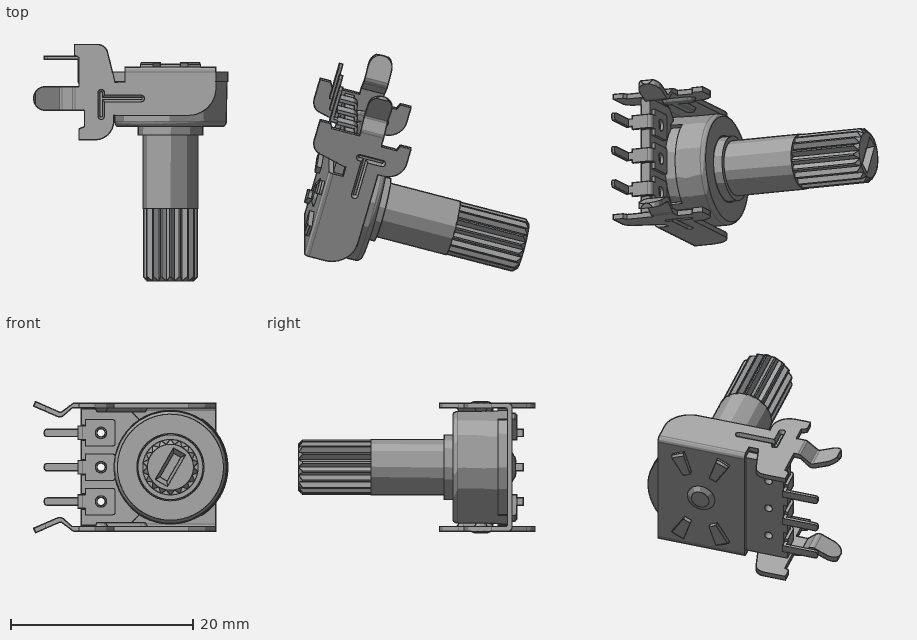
import cadquery as cq
import math


TAB_BACK_Y = 2.52
SHAFT_TIP_Y = TAB_BACK_Y - 26

SHEET = 0.55
BRACKET_Z = 7.05
INNER_Z = BRACKET_Z - SHEET
BACK_HALF_X = 5.0
BACK_Y = -0.52
BEND_OUTER = 0.52
BEND_INNER = 0.25

PLATE_FRONT_Y = -5.28
PLATE_CORNER = 3.0
NOTCH_Y = -1.65
NOTCH_X = -6.08
REAR_TAB_X = -7.1
REAR_TAB_CORNER = 1.22
FRONT_TAB_X = -6.21
FRONT_TAB_Y = -7.98
FRONT_TAB_CORNER = 2.08
TAB_REAR_END_X = -10.55
TAB_EDGE_X = -10.04
TAB_STEP_X = -9.45
FRONT_STEP_Y = -6.5
REAR_STEP_Y = 1.07
STEP_SLANT = 0.25

TONGUE_Y = -3.43
TONGUE_WIDTH = 2.63
TONGUE_TIP_X = -15.03
TONGUE_TOP_Z = 7.2
TONGUE_BEND_X = -10.63
TONGUE_LOWER_BEND_X = -10.8
TONGUE_DIP_X = -12.05
TONGUE_INNER_ROUND = 0.25
TONGUE_OUTER_ROUND = 0.65
TONGUE_ROOT_ROUND = 0.45
TONGUE_TIP_ANGLE = 23.5

BEAD_DEPTH = 0.45
BEAD_TAPER = 28
GROOVE_WIDTH = 0.73
BUMP_WIDTH = 1.4
BUMP_ROUND = 0.2
BEAD_BAR_X = -7.6
BEAD_BAR_Y = -4.08
BEAD_BAR_LENGTH = 3.28
BEAD_STEM_END_X = -2.85

BOARD_X = -9.8
BOARD_Z = 6.4
BOARD_Y = -1.59
BOARD_SLANT_X = -4.55
BOARD_TIP_X = -3.48
BOARD_TIP_Z = 5.28
LEG_GAP_HALF_Z = 0.83
LEG_GAP_DEPTH = 0.45

TERMINAL_PITCH = 3.77
TERMINAL_SHEET = 0.36
PAD_X = (-9.3, -6.05)
PAD_WIDTH = 2.9
PAD_CORNER = 0.3
LEG_X = -10.17
LEG_WIDTH = 1.5
LEG_BACK_Y = 0.42
LEG_BEND = 0.52
PIN_WIDTH = 0.83
PIN_BACK_Y = 1.22
PIN_TIP_X = -13.85
PIN_CORNER = 0.35
HOLE_X = -7.62
PAD_HOLE_R = 0.62
BOARD_HOLE_R = 0.45

HOUSING_REAR_R = 6.25
HOUSING_FRONT_R = 6.14
HOUSING_FACE_R = 5.82
HOUSING_ROUND_Y = -5.98
HOUSING_FACE_Y = -6.5
FLANGE_R = 6.32
FLANGE_MIN_X = 3.43
RECESS_R = 5.82
RECESS_Y = -3.0
RECESS_HALF_ANGLE = 46
COLLAR_R = 3.55
COLLAR_Y = -7.45
COLLAR_GROOVE = 0.13
SHAFT_R = 3.05
SHAFT_SHOULDER_Y = -15.52

KNURL_R = 3.0
KNURL_ROOT_R = 2.52
TEETH = 18
CREST_HALF_ANGLE = 1.7
SLOT_LENGTH = 4.0
SLOT_WIDTH = 1.53
SLOT_FLOOR_LENGTH = 3.02
SLOT_FLOOR_WIDTH = 0.9
SLOT_DEPTH = 0.78
SLOT_ANGLE = 60

LUG_INNER_R = 3.54
LUG_OUTER_R = 6.25
LUG_ANGLES = (58, 72)
LUG_HEIGHT = 0.52
LUG_CHAMFER = 0.23
RIVET_BASE_R = 1.59
RIVET_END_R = 1.01
RIVET_HEIGHT = 0.35


def block(x, y, z):
    """Box between two limits along each axis."""
    size = [abs(b - a) for a, b in (x, y, z)]
    centre = [(a + b) / 2 for a, b in (x, y, z)]
    return cq.Workplane("XY").box(*size).translate(tuple(centre))


def polar(radius, degrees):
    angle = math.radians(degrees)
    return radius * math.cos(angle), radius * math.sin(angle)


def sector(plane, r_inner, r_outer, start, end):
    """Closed ring-sector outline on a workplane."""
    middle = (start + end) / 2
    return (
        plane.moveTo(*polar(r_inner, start))
        .lineTo(*polar(r_outer, start))
        .threePointArc(polar(r_outer, middle), polar(r_outer, end))
        .lineTo(*polar(r_inner, end))
        .threePointArc(polar(r_inner, middle), polar(r_inner, start))
        .close()
    )


def round_corner(body, x, y, radius):
    corner = cq.selectors.NearestToPointSelector((x, y, BRACKET_Z - SHEET / 2))
    return body.edges("|Z").edges(corner).fillet(radius)


def side_plate():
    """Upper bracket side plate, flat."""
    tongue_rear = TONGUE_Y + TONGUE_WIDTH / 2
    tongue_front = TONGUE_Y - TONGUE_WIDTH / 2
    outline = [
        (TAB_REAR_END_X, TAB_BACK_Y),
        (REAR_TAB_X, TAB_BACK_Y),
        (NOTCH_X, NOTCH_Y),
        (-BACK_HALF_X, NOTCH_Y),
        (-BACK_HALF_X, 0),
        (BACK_HALF_X, 0),
        (BACK_HALF_X, PLATE_FRONT_Y),
        (FRONT_TAB_X, PLATE_FRONT_Y),
        (FRONT_TAB_X, FRONT_TAB_Y),
        (TAB_EDGE_X, FRONT_TAB_Y),
        (TAB_EDGE_X, FRONT_STEP_Y - STEP_SLANT),
        (TAB_STEP_X, FRONT_STEP_Y),
        (TAB_STEP_X, tongue_front),
        (TAB_EDGE_X, tongue_front),
        (TAB_EDGE_X, REAR_STEP_Y),
        (TAB_REAR_END_X, REAR_STEP_Y + STEP_SLANT),
    ]
    plate = cq.Workplane("XY").workplane(offset=INNER_Z).polyline(outline).close().extrude(SHEET)
    plate = round_corner(plate, REAR_TAB_X, TAB_BACK_Y, REAR_TAB_CORNER)
    plate = round_corner(plate, BACK_HALF_X, PLATE_FRONT_Y, PLATE_CORNER)
    return round_corner(plate, FRONT_TAB_X, FRONT_TAB_Y, FRONT_TAB_CORNER)


def tongue():
    """Spring tongue: dips inward, then rises to a rounded tip."""
    tip_angle = math.radians(TONGUE_TIP_ANGLE)
    tip_x = TONGUE_TIP_X + SHEET * math.sin(tip_angle)
    dip_z = TONGUE_TOP_Z - (TONGUE_DIP_X - tip_x) * math.tan(tip_angle)
    lower_dip_z = dip_z - SHEET / math.cos(tip_angle)
    outline = [
        (TAB_STEP_X, BRACKET_Z),
        (TONGUE_BEND_X, BRACKET_Z),
        (TONGUE_DIP_X, dip_z),
        (tip_x, TONGUE_TOP_Z),
        (TONGUE_TIP_X, TONGUE_TOP_Z - SHEET * math.cos(tip_angle)),
        (TONGUE_DIP_X, lower_dip_z),
        (TONGUE_LOWER_BEND_X, INNER_Z),
        (TAB_STEP_X, INNER_Z),
    ]
    strip = (
        cq.Workplane("XZ", origin=(0, TONGUE_Y, 0))
        .polyline(outline)
        .close()
        .extrude(TONGUE_WIDTH / 2, both=True)
    )
    bends = [
        (TONGUE_BEND_X, BRACKET_Z, TONGUE_ROOT_ROUND),
        (TONGUE_DIP_X, dip_z, TONGUE_INNER_ROUND),
        (TONGUE_DIP_X, lower_dip_z, TONGUE_OUTER_ROUND),
    ]
    for x, z, radius in bends:
        bend = cq.selectors.NearestToPointSelector((x, TONGUE_Y, z))
        strip = strip.edges("|Y").edges(bend).fillet(radius)
    plan_length = 2 * (TAB_STEP_X - TONGUE_TIP_X)
    plan = (
        cq.Workplane("XY")
        .center(TONGUE_TIP_X + plan_length / 2, TONGUE_Y)
        .slot2D(plan_length, TONGUE_WIDTH)
        .extrude(2 * BRACKET_Z)
    )
    return strip.intersect(plan)


def bead(width, top_z):
    """T-shaped bead body that narrows downward from top_z; width is its width at the top."""
    margin = width - GROOVE_WIDTH
    stem_length = BEAD_STEM_END_X - BEAD_BAR_X + width / 2
    stem_x = BEAD_STEM_END_X - stem_length / 2 + margin / 2
    plane = cq.Workplane("XY").workplane(offset=top_z)
    bar = (
        plane.center(BEAD_BAR_X, BEAD_BAR_Y)
        .slot2D(BEAD_BAR_LENGTH + margin, width, 90)
        .extrude(-BEAD_DEPTH, taper=BEAD_TAPER)
    )
    stem = (
        plane.center(stem_x, TONGUE_Y)
        .slot2D(stem_length, width)
        .extrude(-BEAD_DEPTH, taper=BEAD_TAPER)
    )
    return bar.union(stem)


def bracket():
    upper = side_plate().union(tongue())
    back = block((-BACK_HALF_X, BACK_HALF_X), (BACK_Y, 0), (-BRACKET_Z, BRACKET_Z))
    body = back.union(upper).union(upper.mirror("XY"))
    for side in (1, -1):
        outer = cq.selectors.NearestToPointSelector((0, 0, side * BRACKET_Z))
        inner = cq.selectors.NearestToPointSelector((0, BACK_Y, side * INNER_Z))
        body = body.edges("|X").edges(outer).fillet(BEND_OUTER)
        body = body.edges("|X").edges(inner).fillet(BEND_INNER)
    bump = bead(BUMP_WIDTH, INNER_Z).faces("<Z").edges().fillet(BUMP_ROUND)
    groove = bead(GROOVE_WIDTH, BRACKET_Z)
    body = body.union(bump).union(bump.mirror("XY"))
    return body.cut(groove).cut(groove.mirror("XY"))


def board():
    """Insulating board with a gap for each terminal leg."""
    upper_edge = [(BOARD_X, BOARD_Z), (BOARD_SLANT_X, BOARD_Z), (BOARD_TIP_X, BOARD_TIP_Z)]
    lower_edge = [(x, -z) for x, z in reversed(upper_edge)]
    body = (
        cq.Workplane("XZ", origin=(0, BACK_Y, 0))
        .polyline(upper_edge + lower_edge)
        .close()
        .extrude(BACK_Y - BOARD_Y)
    )
    for row in (-1, 0, 1):
        z = row * TERMINAL_PITCH
        gap = block(
            (BOARD_X, BOARD_X + LEG_GAP_DEPTH),
            (BOARD_Y, BACK_Y),
            (z - LEG_GAP_HALF_Z, z + LEG_GAP_HALF_Z),
        )
        body = body.cut(gap)
    return body


def terminal():
    """Middle terminal: pad on the board, leg around its edge and pin pointing to -X."""
    pad_front = BOARD_Y - TERMINAL_SHEET
    half_leg = LEG_WIDTH / 2
    half_pin = PIN_WIDTH / 2
    leg_inner_x = LEG_X + TERMINAL_SHEET
    pad = block(PAD_X, (pad_front, BOARD_Y), (-PAD_WIDTH / 2, PAD_WIDTH / 2))
    pad = pad.edges("|Y and >X").fillet(PAD_CORNER)
    neck = block((LEG_X, PAD_X[0]), (pad_front, BOARD_Y), (-half_leg, half_leg))
    leg = block((LEG_X, leg_inner_x), (pad_front, LEG_BACK_Y), (-half_leg, half_leg))
    bent = neck.union(leg).edges("|Z and <X and <Y").fillet(LEG_BEND)
    riser = block((LEG_X, leg_inner_x), (LEG_BACK_Y, PIN_BACK_Y), (-half_pin, half_pin))
    pin = block(
        (PIN_TIP_X, leg_inner_x), (PIN_BACK_Y - TERMINAL_SHEET, PIN_BACK_Y), (-half_pin, half_pin)
    )
    pin = pin.edges("|Y and <X").fillet(PIN_CORNER)
    pad_hole = cq.Workplane("XZ").center(HOLE_X, 0).circle(PAD_HOLE_R).extrude(-pad_front)
    return pad.union(bent).union(riser).union(pin).cut(pad_hole)


def housing_and_shaft():
    """Turned body: housing, collar and plain shaft."""
    groove_r = COLLAR_R + COLLAR_GROOVE
    profile = (
        cq.Workplane("XY")
        .moveTo(0, BACK_Y)
        .lineTo(HOUSING_REAR_R, BACK_Y)
        .lineTo(HOUSING_FRONT_R, HOUSING_ROUND_Y)
        .tangentArcPoint((HOUSING_FACE_R, HOUSING_FACE_Y), relative=False)
        .lineTo(groove_r, HOUSING_FACE_Y)
        .lineTo(groove_r, HOUSING_FACE_Y + COLLAR_GROOVE)
        .lineTo(COLLAR_R, HOUSING_FACE_Y + COLLAR_GROOVE)
        .lineTo(COLLAR_R, COLLAR_Y)
        .lineTo(SHAFT_R, COLLAR_Y)
        .lineTo(SHAFT_R, SHAFT_SHOULDER_Y)
        .lineTo(0, SHAFT_SHOULDER_Y)
        .close()
    )
    body = profile.revolve(360, (0, 0), (0, 1))

    recess_plane = cq.Workplane("XZ", origin=(0, BOARD_Y, 0))
    recess = sector(
        recess_plane,
        RECESS_R,
        FLANGE_R,
        180 - RECESS_HALF_ANGLE,
        180 + RECESS_HALF_ANGLE,
    ).extrude(BOARD_Y - RECESS_Y)

    flange = cq.Workplane("XZ", origin=(0, BACK_Y, 0)).circle(FLANGE_R).extrude(BACK_Y - BOARD_Y)
    keep = block((FLANGE_MIN_X, FLANGE_R), (BOARD_Y, BACK_Y), (-FLANGE_R, FLANGE_R))
    return body.cut(recess).union(flange.intersect(keep))


def knurl():
    """Toothed shaft end with a chamfered tip and a tapered screwdriver slot."""
    pitch = 360 / TEETH
    points = []
    for tooth in range(TEETH):
        crest = 90 + tooth * pitch
        points.append(polar(KNURL_R, crest - CREST_HALF_ANGLE))
        points.append(polar(KNURL_R, crest + CREST_HALF_ANGLE))
        points.append(polar(KNURL_ROOT_R, crest + pitch / 2))
    length = SHAFT_SHOULDER_Y - SHAFT_TIP_Y
    start = cq.Workplane("XZ", origin=(0, SHAFT_SHOULDER_Y, 0))
    teeth = start.polyline(points).close().extrude(length)
    tip = start.circle(KNURL_R).extrude(length).faces("<Y").chamfer(KNURL_R - KNURL_ROOT_R)
    slot = (
        cq.Workplane("XZ", origin=(0, SHAFT_TIP_Y, 0))
        .rect(SLOT_LENGTH, SLOT_WIDTH)
        .workplane(offset=-SLOT_DEPTH)
        .rect(SLOT_FLOOR_LENGTH, SLOT_FLOOR_WIDTH)
        .loft(ruled=True)
        .rotate((0, 0, 0), (0, 1, 0), -SLOT_ANGLE)
    )
    return teeth.intersect(tip).cut(slot)


def rear_features():
    """Crimp lugs in the four quadrants and the rivet end of the shaft."""
    body = cq.Workplane("XZ").circle(RIVET_BASE_R).workplane(offset=-RIVET_HEIGHT)
    body = body.circle(RIVET_END_R).loft()
    plane = cq.Workplane("XZ")
    x_outer, z_outer = polar(LUG_OUTER_R, sum(LUG_ANGLES) / 2)
    lug = sector(plane, LUG_INNER_R, LUG_OUTER_R, *LUG_ANGLES).extrude(-LUG_HEIGHT)
    outer_edge = cq.selectors.NearestToPointSelector((x_outer, LUG_HEIGHT, z_outer))
    lug = lug.faces(">Y").edges(outer_edge).chamfer(LUG_CHAMFER)
    upper_lugs = lug.union(lug.mirror("YZ"))
    return body.union(upper_lugs).union(upper_lugs.mirror("XY"))


result = bracket().union(board()).union(housing_and_shaft()).union(knurl()).union(rear_features())
for row in (-1, 0, 1):
    height = row * TERMINAL_PITCH
    result = result.union(terminal().translate((0, 0, height)))
    board_hole = (
        cq.Workplane("XZ", origin=(HOLE_X, BACK_Y, height))
        .circle(BOARD_HOLE_R)
        .extrude(BACK_Y - BOARD_Y)
    )
    result = result.cut(board_hole)